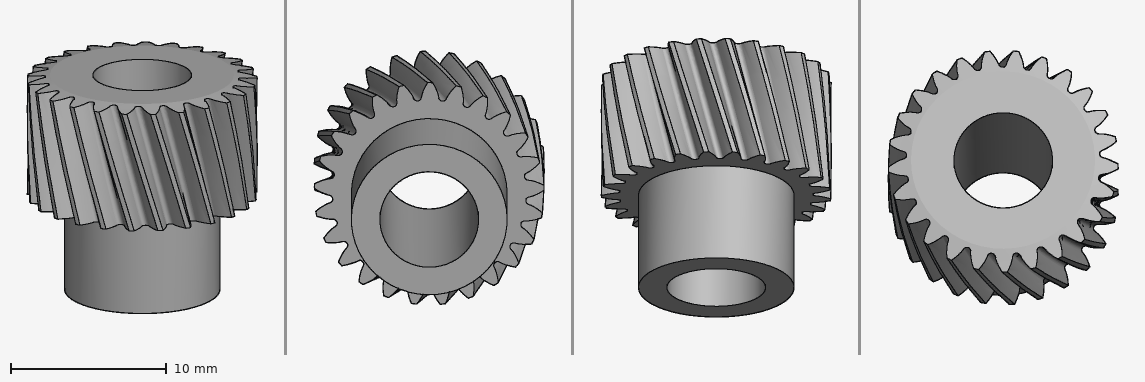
import cadquery as cq
import math

TOOTH_COUNT = 25
TIP_RADIUS = 7.39
ROOT_RADIUS = 6.22
PITCH_RADIUS = 6.87
PRESSURE_ANGLE = math.radians(25)
ROOT_FILLET_START_RADIUS = 6.38
GEAR_TWIST = -18.6
HUB_DIAMETER = 10.0
HUB_HEIGHT = 6.4
BORE_DIAMETER = 6.34
TOTAL_HEIGHT = 14.5
TOP_FACE_RADIUS = 5.91
BEVEL_DROP = 0.22
FLANK_POINTS = 5

GEAR_HEIGHT = TOTAL_HEIGHT - HUB_HEIGHT
BASE_RADIUS = PITCH_RADIUS * math.cos(PRESSURE_ANGLE)
TOOTH_PITCH = 2 * math.pi / TOOTH_COUNT
START_ANGLE = -math.radians(GEAR_TWIST)


def polar(radius, angle):
    return (radius * math.cos(angle), radius * math.sin(angle))


def involute(radius):
    """Polar angle swept by the involute between the base circle and a radius."""
    roll_angle = math.acos(BASE_RADIUS / radius)
    return math.tan(roll_angle) - roll_angle


def gap_half_angle(radius):
    """Half the angular width of a tooth gap; it equals the tooth at the pitch circle."""
    return TOOTH_PITCH / 4 + involute(radius) - involute(PITCH_RADIUS)


def gear_outline():
    flank_span = TIP_RADIUS - ROOT_FILLET_START_RADIUS
    radii = [
        TIP_RADIUS - flank_span * step / (FLANK_POINTS - 1)
        for step in range(FLANK_POINTS)
    ]
    tip_half_gap = gap_half_angle(TIP_RADIUS)
    outline = cq.Workplane("XY").workplane(offset=HUB_HEIGHT)
    outline = outline.moveTo(*polar(TIP_RADIUS, START_ANGLE - tip_half_gap))
    for tooth in range(TOOTH_COUNT):
        center = START_ANGLE + tooth * TOOTH_PITCH
        falling_flank = [polar(r, center - gap_half_angle(r)) for r in radii]
        rising_flank = [polar(r, center + gap_half_angle(r)) for r in reversed(radii)]
        next_tip = polar(TIP_RADIUS, center + TOOTH_PITCH - tip_half_gap)
        outline = outline.spline(falling_flank[1:], includeCurrent=True)
        outline = outline.threePointArc(polar(ROOT_RADIUS, center), rising_flank[0])
        outline = outline.spline(rising_flank[1:], includeCurrent=True)
        outline = outline.threePointArc(polar(TIP_RADIUS, center + TOOTH_PITCH / 2), next_tip)
    return outline.close()


def beveled_blank():
    """Solid of revolution that gives the teeth their conical top face."""
    outer_radius = TIP_RADIUS + 0.15
    bevel_slope = BEVEL_DROP / (TIP_RADIUS - TOP_FACE_RADIUS)
    outer_height = TOTAL_HEIGHT - bevel_slope * (outer_radius - TOP_FACE_RADIUS)
    profile = [
        (0, HUB_HEIGHT),
        (outer_radius, HUB_HEIGHT),
        (outer_radius, outer_height),
        (TOP_FACE_RADIUS, TOTAL_HEIGHT),
        (0, TOTAL_HEIGHT),
    ]
    return cq.Workplane("XZ").polyline(profile).close().revolve(360, (0, 0, 0), (0, 1, 0))


gear = gear_outline().twistExtrude(GEAR_HEIGHT, GEAR_TWIST).intersect(beveled_blank())
hub = cq.Workplane("XY").circle(HUB_DIAMETER / 2).extrude(HUB_HEIGHT)
bore = cq.Workplane("XY").circle(BORE_DIAMETER / 2).extrude(TOTAL_HEIGHT)
result = gear.union(hub).cut(bore)